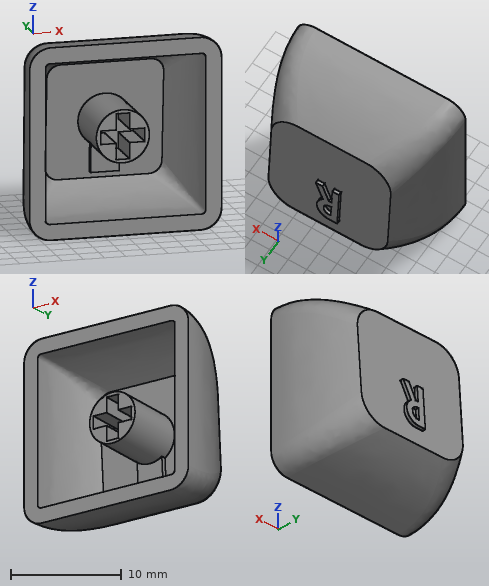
import cadquery as cq
import math

BASE_WIDTH = 18.1
BASE_RADIUS = 2.01
TOP_WIDTH = 12.85
TOP_RADIUS = 2.77
TOP_HEIGHT = 8.85
TOP_TILT = 4.0

WALL = 1.5
CAVITY_WIDTH = BASE_WIDTH - 2 * WALL
CAVITY_RADIUS = 0.4
CEILING_WIDTH = 11.0
CEILING_RADIUS = 1.21
CEILING_HEIGHT = TOP_HEIGHT - WALL

STEM_DIAMETER = 5.0
STEM_RECESS = 1.0
CROSS_SPAN_X = 4.16
CROSS_SPAN_Z = 4.3
CROSS_ARM = 1.27
CROSS_DEPTH = 3.98

LETTER_RAISE = 0.36
LETTER_WIDTH = 2.5
LETTER_STROKE = 0.72
LETTER_FOOT = 0.16
LETTER_HEAD = 4.67
BOWL_BASE = 1.9
BOWL_RIGHT = 1.0
PAD_WIDTH = 2.72
PAD_THICKNESS = 0.5
PAD_MARGIN = 0.18
PAD_FOOT = LETTER_FOOT - PAD_MARGIN
PAD_HEAD = LETTER_HEAD + PAD_MARGIN


def face_plane(height, tilt):
    """Plane facing +Y and tilted about X; its local y axis points toward -Z."""
    angle = math.radians(tilt)
    return cq.Plane(
        origin=(0, height, 0),
        xDir=(1, 0, 0),
        normal=(0, math.cos(angle), math.sin(angle)),
    )


def domed_block(base_width, base_radius, top_width, top_radius, height):
    """Loft of rounded squares; width and radius change with the square of the height."""
    sections = []
    for fraction in (0.0, 0.5, 1.0):
        width = base_width + (top_width - base_width) * fraction**2
        radius = base_radius + (top_radius - base_radius) * fraction**2
        plane = face_plane(height * fraction, TOP_TILT * fraction)
        section = cq.Sketch().rect(width, width).vertices().fillet(radius)
        sections.append(section.moved(plane.location))
    return cq.Workplane().placeSketch(*sections).loft()


def make_stem():
    """Round post that ends in the ceiling, with a cross socket in its free end."""
    ceiling_embed = WALL / 2
    stem_length = CEILING_HEIGHT + ceiling_embed - STEM_RECESS
    stem_end = cq.Workplane(face_plane(STEM_RECESS, 0))
    post = stem_end.circle(STEM_DIAMETER / 2).extrude(stem_length)
    cross = (
        stem_end.rect(CROSS_SPAN_X, CROSS_ARM).extrude(CROSS_DEPTH)
        .union(stem_end.rect(CROSS_ARM, CROSS_SPAN_Z).extrude(CROSS_DEPTH))
    )
    return post.cut(cross)


def make_legend():
    """Letter R that runs from the ceiling through the wall to its raised face."""
    face = cq.Workplane(face_plane(CEILING_HEIGHT, TOP_TILT))
    depth = WALL + LETTER_RAISE
    left = -LETTER_WIDTH / 2
    right = LETTER_WIDTH / 2
    bowl_radius = (LETTER_HEAD - BOWL_BASE) / 2
    bowl_middle = BOWL_BASE + bowl_radius
    arc_start = BOWL_RIGHT - bowl_radius
    hole_radius = bowl_radius - LETTER_STROKE

    upright = (
        face.moveTo(left, LETTER_FOOT)
        .lineTo(left + LETTER_STROKE, LETTER_FOOT)
        .lineTo(left + LETTER_STROKE, LETTER_HEAD)
        .lineTo(left, LETTER_HEAD)
        .close().extrude(depth)
    )
    bowl = (
        face.moveTo(left, BOWL_BASE)
        .lineTo(arc_start, BOWL_BASE)
        .threePointArc((BOWL_RIGHT, bowl_middle), (arc_start, LETTER_HEAD))
        .lineTo(left, LETTER_HEAD)
        .close().extrude(depth)
    )
    bowl_hole = (
        face.moveTo(left + LETTER_STROKE, BOWL_BASE + LETTER_STROKE)
        .lineTo(arc_start, BOWL_BASE + LETTER_STROKE)
        .threePointArc(
            (arc_start + hole_radius, bowl_middle),
            (arc_start, LETTER_HEAD - LETTER_STROKE),
        )
        .lineTo(left + LETTER_STROKE, LETTER_HEAD - LETTER_STROKE)
        .close().extrude(depth)
    )
    leg_top = BOWL_BASE + LETTER_STROKE / 2
    leg = (
        face.moveTo(right - LETTER_STROKE, LETTER_FOOT)
        .lineTo(right, LETTER_FOOT)
        .lineTo(arc_start + LETTER_STROKE, leg_top)
        .lineTo(arc_start, leg_top)
        .close().extrude(depth)
    )
    return upright.union(bowl.cut(bowl_hole)).union(leg)


def make_pad():
    """Rectangular pad on the ceiling, behind the letter."""
    ceiling = cq.Workplane(face_plane(CEILING_HEIGHT, TOP_TILT))
    pad_middle = (PAD_FOOT + PAD_HEAD) / 2
    pad_length = PAD_HEAD - PAD_FOOT
    return ceiling.center(0, pad_middle).rect(PAD_WIDTH, pad_length).extrude(-PAD_THICKNESS)


def make_keycap(legend):
    """Hollow shell with its stem and pad, cut to hold the legend."""
    shell = domed_block(BASE_WIDTH, BASE_RADIUS, TOP_WIDTH, TOP_RADIUS, TOP_HEIGHT)
    cavity = domed_block(CAVITY_WIDTH, CAVITY_RADIUS, CEILING_WIDTH, CEILING_RADIUS, CEILING_HEIGHT)
    return shell.cut(cavity).union(make_stem()).union(make_pad()).cut(legend)


legend = make_legend()
keycap = make_keycap(legend)

result = cq.Compound.makeCompound([keycap.solids().val(), legend.solids().val()])